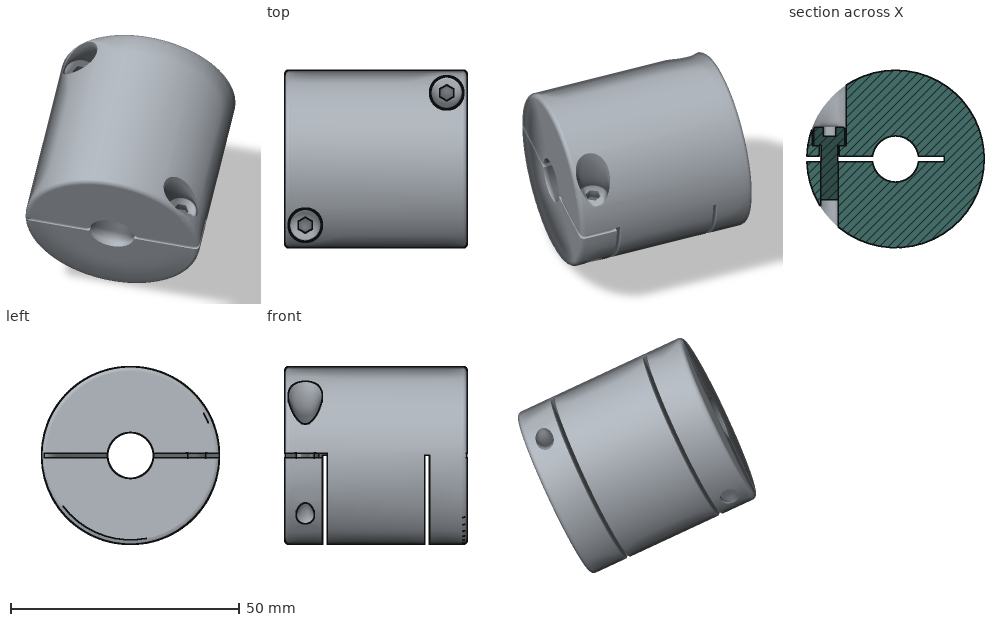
import cadquery as cq
import math

body_diameter = 39.0
body_length = 40.0
bore_diameter = 10.0
rim_fillet = 1.0

slit_width = 1.0
relief_width = 1.0
slit_depth = 9.3
saw_radius = 42.0
hinge_thickness = 0.5

screw_inset = 4.5
screw_offset = 14.5
thread_diameter = 4.0
clearance_diameter = 4.5
head_diameter = 7.0
head_height = 4.0
head_fillet = 0.5
counterbore_diameter = 7.5
hex_across_flats = 3.0
hex_depth = 2.0
screw_length = 12.0
seat_height = 3.0

body_radius = body_diameter / 2
end_x = -body_length / 2
screw_x = end_x + screw_inset
screw_y = -screw_offset
slit_bottom_x = end_x + slit_depth
overrun = 1.0

clamp_angles = (0, 180)


def turned(shape, angle):
    return shape.rotate((0, 0, 0), (0, 0, 1), angle)


def vertical_cylinder(diameter, bottom, top):
    """Cylinder on the screw axis between two heights."""
    return (
        cq.Workplane("XY", origin=(screw_x, screw_y, bottom))
        .circle(diameter / 2)
        .extrude(top - bottom)
    )


def clamp_slit():
    """Slit open on the -Y side, ending in a saw arc that runs out to the end face on the +Y side."""
    arc_end_y = body_radius - hinge_thickness
    arc_start_y = -bore_diameter / 2
    side_y = -body_radius - overrun
    start_x = end_x - overrun
    return (
        cq.Workplane("XY", origin=(0, 0, -slit_width / 2))
        .moveTo(start_x, side_y)
        .lineTo(slit_bottom_x, side_y)
        .lineTo(slit_bottom_x, arc_start_y)
        .radiusArc((end_x, arc_end_y), -saw_radius)
        .lineTo(start_x, arc_end_y)
        .close()
        .extrude(slit_width)
    )


def relief_slot():
    """Slot across the lower half of the body, at the bottom of the slit."""
    slot_height = body_radius + overrun
    return (
        cq.Workplane("XY", origin=(slit_bottom_x - relief_width / 2, 0, -slot_height))
        .rect(relief_width, 2 * (body_radius + overrun))
        .extrude(slot_height)
    )


def screw_hole():
    """Counterbore, clearance hole above the axis and tapped hole below it."""
    tapped = vertical_cylinder(thread_diameter, -body_radius, 0)
    clearance = vertical_cylinder(clearance_diameter, 0, seat_height)
    counterbore = vertical_cylinder(counterbore_diameter, seat_height, body_radius)
    return tapped.union(clearance).union(counterbore)


def make_body():
    body = (
        cq.Workplane("YZ", origin=(end_x, 0, 0))
        .circle(body_radius)
        .extrude(body_length)
        .edges()
        .fillet(rim_fillet)
    )
    bore = (
        cq.Workplane("YZ", origin=(end_x, 0, 0))
        .circle(bore_diameter / 2)
        .extrude(body_length)
    )
    body = body.cut(bore)
    for angle in clamp_angles:
        for cutter in (clamp_slit(), relief_slot(), screw_hole()):
            body = body.cut(turned(cutter, angle))
    return body


def make_screw(angle):
    """Socket head cap screw in one clamp, head up."""
    head_top = seat_height + head_height
    head = (
        vertical_cylinder(head_diameter, seat_height, head_top)
        .faces(">Z")
        .edges()
        .fillet(head_fillet)
    )
    shank = vertical_cylinder(thread_diameter, seat_height - screw_length, seat_height)
    hex_across_corners = hex_across_flats / math.cos(math.pi / 6)
    socket = (
        cq.Workplane("XY", origin=(screw_x, screw_y, head_top - hex_depth))
        .transformed(rotate=(0, 0, 90))
        .polygon(6, hex_across_corners)
        .extrude(hex_depth)
    )
    return turned(head.union(shank).cut(socket), angle)


body = make_body()
screws = [make_screw(angle) for angle in clamp_angles]

result = cq.Compound.makeCompound([body.solids().val(), *[screw.solids().val() for screw in screws]])